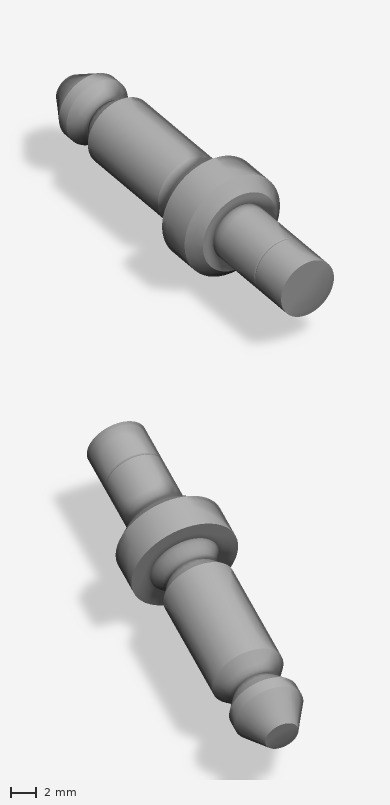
import cadquery as cq


total_length = 31.6

tip_diameter = 2.8
head_diameter = 5.8
head_cone_length = 2.5
head_band_length = 1.0
head_back_length = 1.5
head_waist_diameter = 3.82

body_diameter = 6.0
body_lead_in_length = 1.52
body_length = 9.35
body_lead_out_length = 1.4

flange_waist_diameter = 4.1
neck_end_diameter = 5.8
neck_length = 1.3
flange_diameter = 9.0
flange_thickness = 4.0
flange_chamfer = 1.0

shank_diameter = 5.0
groove_from_end = 3.5
groove_width = 0.2
groove_depth = 0.05

head_band_start = head_cone_length
head_band_end = head_band_start + head_band_length
head_waist_x = head_band_end + head_back_length
body_start = head_waist_x + body_lead_in_length
body_end = body_start + body_length
flange_waist_x = body_end + body_lead_out_length
flange_front = flange_waist_x + neck_length
flange_back = flange_front + flange_thickness


def make_pin():
    """Revolve the stepped half profile about the X axis."""
    flange_radius = flange_diameter / 2
    profile = [
        (0, 0),
        (0, tip_diameter / 2),
        (head_band_start, head_diameter / 2),
        (head_band_end, head_diameter / 2),
        (head_waist_x, head_waist_diameter / 2),
        (body_start, body_diameter / 2),
        (body_end, body_diameter / 2),
        (flange_waist_x, flange_waist_diameter / 2),
        (flange_front, neck_end_diameter / 2),
        (flange_front, flange_radius),
        (flange_back - flange_chamfer, flange_radius),
        (flange_back, flange_radius - flange_chamfer),
        (flange_back, shank_diameter / 2),
        (total_length, shank_diameter / 2),
        (total_length, 0),
    ]
    return cq.Workplane("XY").polyline(profile).close().revolve(360, (0, 0, 0), (1, 0, 0))


def make_groove_ring():
    """Triangular ring that cuts the V groove into the shank."""
    shank_radius = shank_diameter / 2
    groove_x = total_length - groove_from_end
    section = [
        (groove_x - groove_width / 2, shank_radius),
        (groove_x, shank_radius - groove_depth),
        (groove_x + groove_width / 2, shank_radius),
    ]
    return cq.Workplane("XY").polyline(section).close().revolve(360, (0, 0, 0), (1, 0, 0))


result = make_pin().cut(make_groove_ring())